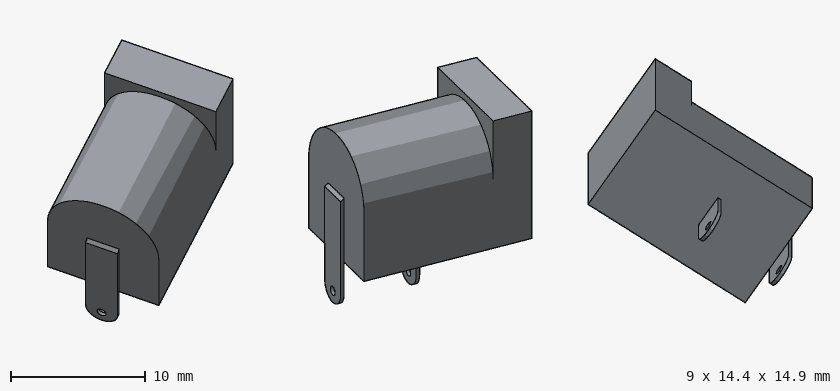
import cadquery as cq
import math

width = 9.0
body_length = 14.05
flange_thickness = 3.25
flange_height = 10.93
barrel_height = 10.33
crown_flat = 0.21

terminal_width = 2.6
terminal_thickness = 0.3
terminal_drop = 4.0
rear_terminal_top = 5.5
terminal_bevel = 0.22
terminal_hole_diameter = 0.72
terminal_hole_z = -3.02
middle_terminal_y = 6.02
middle_terminal_embed = 0.3

half_width = width / 2
crown_radius = (width - crown_flat) / 2
shoulder_height = barrel_height - crown_radius
flange_start = body_length - flange_thickness


def make_body():
    """Round-topped barrel joined to a taller rectangular flange."""
    arc_offset = crown_radius * math.sqrt(0.5)
    arc_x = crown_flat / 2 + arc_offset
    arc_z = shoulder_height + arc_offset
    barrel = (
        cq.Workplane("XZ")
        .moveTo(-half_width, 0)
        .lineTo(half_width, 0)
        .lineTo(half_width, shoulder_height)
        .threePointArc((arc_x, arc_z), (crown_flat / 2, barrel_height))
        .lineTo(-crown_flat / 2, barrel_height)
        .threePointArc((-arc_x, arc_z), (-half_width, shoulder_height))
        .close()
        .extrude(-flange_start)
    )
    flange = cq.Workplane("XY").box(
        width, flange_thickness, flange_height, centered=(True, False, False)
    ).translate((0, flange_start, 0))
    return barrel.union(flange)


def make_terminal(outer_y, top):
    """Upright strip with a rounded lower end and a wire hole."""
    radius = terminal_width / 2
    center_z = radius - terminal_drop
    strip = (
        cq.Workplane("XZ", origin=(0, outer_y, 0))
        .moveTo(-radius, top)
        .lineTo(-radius, center_z)
        .threePointArc((0, -terminal_drop), (radius, center_z))
        .lineTo(radius, top)
        .close()
        .extrude(-terminal_thickness)
    )
    hole = (
        cq.Workplane("XZ", origin=(0, outer_y, 0))
        .center(0, terminal_hole_z)
        .circle(terminal_hole_diameter / 2)
        .extrude(-terminal_thickness)
    )
    return strip.cut(hole)


def make_rear_terminal():
    """Terminal on the end face, its top edge sloping down away from the body."""
    bevel_wedge = (
        cq.Workplane("YZ")
        .moveTo(0, rear_terminal_top)
        .lineTo(-terminal_thickness, rear_terminal_top)
        .lineTo(-terminal_thickness, rear_terminal_top - terminal_bevel)
        .close()
        .extrude(terminal_width / 2, both=True)
    )
    return make_terminal(-terminal_thickness, rear_terminal_top).cut(bevel_wedge)


middle_terminal = make_terminal(middle_terminal_y, middle_terminal_embed)

result = make_body().union(make_rear_terminal()).union(middle_terminal)